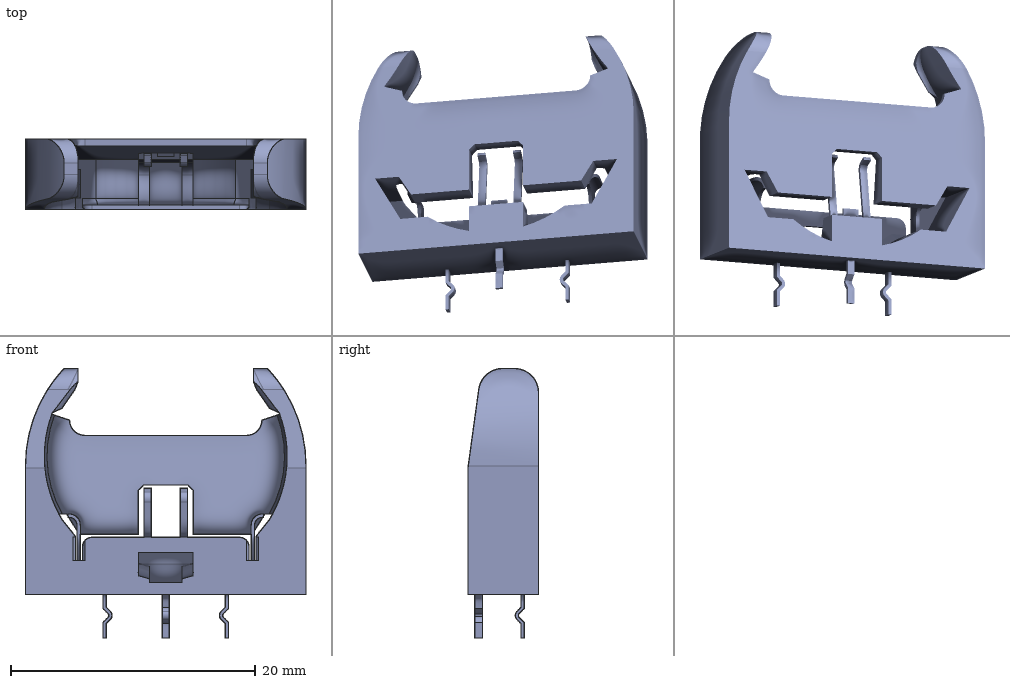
import cadquery as cq
import math


WIDTH = 23.0
DEPTH = 5.8
HEIGHT = 18.53
HALF_W = WIDTH / 2
FRONT_Y = -DEPTH / 2
BACK_Y = DEPTH / 2
ARM_START_Z = 10.55
ARM_RADIUS = 11.6
SHOULDER_Z = 10.38
ARM_FRONT_TOP_Y = -1.78
ARM_CORNER_R = 2.0
LEAN = (ARM_FRONT_TOP_Y - FRONT_Y) / (HEIGHT - SHOULDER_Z)

CELL_Z = 11.33
CELL_R = 9.95
POCKET_LOW_Z = 6.6
POCKET_HIGH_Z = 14.88
FLANK_TOP_Z = 6.15
FLANK_LOW_Z = 4.77

TIP_X = 7.17
TIP_KNEE = (7.99, 16.84)
HOOK_TOP_Z = 17.5
HOOK_PROFILE = [(8.5, 15.26), (7.43, 16.8)]
HOOK_DEPTH = 0.55
BEVEL_END = (7.37, 17.4)

LIP_TOP_Z = 4.70
LIP_BACK_Y = -2.54
LIP_CORNER_R = 0.8
SLOT_IN_X = 6.83
SLOT_OUT_X = 7.39
SLOT_FLARE = 0.2

FLOOR_Z = 2.81
FLOOR_FLAT_X = 5.73
TROUGH_BOTTOM_Z = 0.97
LIP_FOOT = 0.54
RECESS_FRONT_Y = -1.9
RECESS_FOOT_X = 8.0
RECESS_TOP_X = 10.1

PLATE_LOW_Z = 4.93
PLATE_LOW_Y = 1.19
PLATE_HIGH_Z = 13.05
PLATE_LOW_X = 7.1
PLATE_STEP_X = 8.12
PLATE_HORN_X = 7.87
PLATE_HORN_Z = 14.29
PLATE_END_X = 9.31
PLATE_END_Z = 14.77
WALL_OVERLAP = 0.4
PLATE_BEVEL = 0.22
NOTCH_TOP_Z = 8.96
NOTCH_CHAMFER = 0.44

BLOCK_HALF_W = 2.25
BLOCK_TOP_Z = 3.44
BLOCK_TOP_Y = 1.19
BLOCK_FACE_Y = 0.95
BLOCK_FACE_Z = 2.49
RIB_IN_X = 1.33
RIB_IN_Z = 1.28
RIB_OUT_Z = 1.55
RIB_FILLET = 1.0

SHEET = 0.28
SPRING_X = 7.0
SPRING_BEND_R = 0.9
SPRING_TIP_X = 8.0
SPRING_FRONT_Y = -1.93
SPRING_BACK_Y = 0.4
SPRING_TIP_R = 0.5
STEM_BACK_Y = -0.85
FINGER_IN_X = 1.17
FINGER_OUT_X = 1.80
FINGER_FRONT_BEND = [(0.65, 7.59), (0.69, 8.1), (0.96, 8.41)]
FINGER_TIP_UPPER = (1.58, 8.73)
FINGER_TIP_LOWER = (1.71, 8.48)
FINGER_BACK_BEND = [(1.09, 8.16), (0.95, 7.95), (0.93, 7.64)]
TAB_HALF_W = 0.67
TAB_TOP_Z = 4.3
CENTRE_CONTACT_Y = 1.45
ANCHOR = 0.4

PIN_LENGTH = 3.56
KINK_Z = -1.71
KINK_FAR_HALF = 0.57
KINK_FAR_APEX = 0.48
KINK_FAR_ARC = 0.1
KINK_NEAR_HALF = 0.67
KINK_NEAR_APEX = 0.47
KINK_NEAR_ARC = 0.31
SIDE_PIN_X = 5.15
SIDE_PIN_FRONT_Y = -2.34
SIDE_PIN_W = 0.66
CENTRE_PIN_W = 0.58


def extrude_y(profile, y_start, y_end):
    """Extrude a closed XZ profile between two Y positions."""
    return profile.extrude(y_start - y_end).translate((0, y_start, 0))


def both_sides(solid):
    """Combine a right-hand solid with its mirror image about X = 0."""
    return solid.union(solid.mirror("YZ"))


def cell_arc_x(z):
    return math.sqrt(CELL_R ** 2 - (z - CELL_Z) ** 2)


def outer_blank():
    """Housing outline from the front, trimmed to the side outline."""
    centre_x = HALF_W - ARM_RADIUS

    def arm_point(z):
        return centre_x + math.sqrt(ARM_RADIUS ** 2 - (z - ARM_START_Z) ** 2), z

    top_x, top_z = arm_point(HEIGHT)
    mid_x, mid_z = arm_point((ARM_START_Z + HEIGHT) / 2)
    front = (
        cq.Workplane("XZ")
        .moveTo(-HALF_W, 0)
        .lineTo(HALF_W, 0)
        .lineTo(HALF_W, ARM_START_Z)
        .threePointArc((mid_x, mid_z), (top_x, top_z))
        .lineTo(-top_x, top_z)
        .threePointArc((-mid_x, mid_z), (-HALF_W, ARM_START_Z))
        .close()
    )
    side = (
        cq.Workplane("YZ")
        .polyline([
            (FRONT_Y, 0),
            (BACK_Y, 0),
            (BACK_Y, HEIGHT),
            (ARM_FRONT_TOP_Y, HEIGHT),
            (FRONT_Y, SHOULDER_Z),
        ])
        .close()
        .extrude(HALF_W, both=True)
        .edges("|X and >Z")
        .fillet(ARM_CORNER_R)
    )
    return extrude_y(front, FRONT_Y, BACK_Y).intersect(side)


def mouth_cutter():
    """Opening seen from the front, right half: cell arc, arm tip, flank and slot."""
    high_x = cell_arc_x(POCKET_HIGH_Z)
    profile = (
        cq.Workplane("XZ")
        .moveTo(0, LIP_TOP_Z)
        .lineTo(SLOT_IN_X - LIP_CORNER_R, LIP_TOP_Z)
        .radiusArc((SLOT_IN_X, LIP_TOP_Z - LIP_CORNER_R), LIP_CORNER_R)
        .lineTo(SLOT_IN_X, FLOOR_Z)
        .lineTo(SLOT_OUT_X, FLOOR_Z)
        .lineTo(SLOT_OUT_X, FLANK_LOW_Z)
        .lineTo(cell_arc_x(FLANK_TOP_Z), FLANK_TOP_Z)
        .threePointArc((CELL_R, CELL_Z), (high_x, POCKET_HIGH_Z))
        .threePointArc(TIP_KNEE, (TIP_X, HEIGHT))
        .lineTo(0, HEIGHT)
        .close()
    )
    return both_sides(extrude_y(profile, FRONT_Y, BACK_Y))


def slot_flares():
    """Flared front edges of the two slots beside the lip."""
    flare = (
        cq.Workplane("XY", origin=(0, 0, FLOOR_Z))
        .polyline([
            (SLOT_IN_X - SLOT_FLARE, FRONT_Y),
            (SLOT_OUT_X + SLOT_FLARE, FRONT_Y),
            (SLOT_OUT_X, FRONT_Y + SLOT_FLARE),
            (SLOT_IN_X, FRONT_Y + SLOT_FLARE),
        ])
        .close()
        .extrude(LIP_TOP_Z - FLOOR_Z)
    )
    return both_sides(flare)


def floor_cutter():
    """Trough and flat floor behind the lip, with a chamfer along the lip foot."""
    rise = FLOOR_Z - TROUGH_BOTTOM_Z
    trough_r = (FLOOR_FLAT_X ** 2 + rise ** 2) / (2 * rise)
    profile = (
        cq.Workplane("XZ")
        .moveTo(-SLOT_IN_X, PLATE_LOW_Z)
        .lineTo(-SLOT_IN_X, FLOOR_Z)
        .lineTo(-FLOOR_FLAT_X, FLOOR_Z)
        .radiusArc((FLOOR_FLAT_X, FLOOR_Z), -trough_r)
        .lineTo(SLOT_IN_X, FLOOR_Z)
        .lineTo(SLOT_IN_X, PLATE_LOW_Z)
        .close()
    )
    lip_foot = cq.selectors.BoxSelector(
        (-SLOT_IN_X, LIP_BACK_Y - SHEET, 0), (SLOT_IN_X, LIP_BACK_Y + SHEET, FLOOR_Z + SHEET)
    )
    return extrude_y(profile, LIP_BACK_Y, BACK_Y).edges(lip_foot).chamfer(LIP_FOOT)


def side_recesses():
    """Clearance behind the pocket flanks for the side contacts."""
    profile = (
        cq.Workplane("XZ")
        .polyline([
            (SLOT_IN_X, FLOOR_Z),
            (RECESS_FOOT_X, FLOOR_Z),
            (RECESS_TOP_X, POCKET_LOW_Z),
            (SLOT_IN_X, POCKET_LOW_Z),
        ])
        .close()
    )
    return both_sides(extrude_y(profile, RECESS_FRONT_Y, BACK_Y))


def snap_hooks():
    """Snap hooks under the arm tips, bevelled at 45 degrees on the front."""
    def arm_front_y(z):
        return FRONT_Y + LEAN * (z - SHOULDER_Z)

    start_x = cell_arc_x(POCKET_HIGH_Z)
    start = cq.Vector(start_x, arm_front_y(POCKET_HIGH_Z), POCKET_HIGH_Z)
    end = cq.Vector(BEVEL_END[0], arm_front_y(BEVEL_END[1]), BEVEL_END[1])
    along = end - start
    length = along.Length
    inward = cq.Vector(-along.z, 0, along.x).normalized()
    slope = inward + cq.Vector(0, 1, 0)
    normal = along.cross(slope)
    if normal.y > 0:
        normal = normal * -1
    plane = cq.Plane(origin=start.toTuple(), xDir=along.toTuple(), normal=normal.toTuple())
    bevel = cq.Workplane(plane).rect(2 * length, 2, centered=(False, True)).extrude(1)
    knee_x, knee_z = TIP_KNEE
    profile = (
        cq.Workplane("XZ")
        .moveTo(start_x, POCKET_HIGH_Z)
        .polyline(HOOK_PROFILE, includeCurrent=True)
        .lineTo(TIP_X, HOOK_TOP_Z)
        .lineTo(TIP_X, HEIGHT)
        .lineTo(TIP_X + WALL_OVERLAP, HEIGHT)
        .lineTo(knee_x + WALL_OVERLAP, knee_z)
        .close()
    )
    arms = outer_blank()
    hook = extrude_y(profile, FRONT_Y, BACK_Y).intersect(arms)
    hook = hook.cut(arms.translate((0, HOOK_DEPTH, 0)))
    return both_sides(hook.cut(bevel))


def plate_front_y(z):
    return PLATE_LOW_Y + LEAN * (z - PLATE_LOW_Z)


def behind_plate_plane(offset):
    """Everything behind a plane lying the given distance in front of the plate."""
    return (
        cq.Workplane("YZ")
        .polyline([
            (plate_front_y(PLATE_LOW_Z) - offset, PLATE_LOW_Z),
            (BACK_Y, PLATE_LOW_Z),
            (BACK_Y, HEIGHT),
            (plate_front_y(HEIGHT) - offset, HEIGHT),
        ])
        .close()
        .extrude(HALF_W, both=True)
    )


def back_plate():
    """Leaning back plate with horns, lower corner steps and a central notch."""
    horn_r = PLATE_HORN_Z - PLATE_HIGH_Z
    low_x = cell_arc_x(POCKET_LOW_Z)
    half = (
        cq.Workplane("XZ")
        .moveTo(0, NOTCH_TOP_Z)
        .lineTo(BLOCK_HALF_W - NOTCH_CHAMFER, NOTCH_TOP_Z)
        .lineTo(BLOCK_HALF_W, NOTCH_TOP_Z - NOTCH_CHAMFER)
        .lineTo(BLOCK_HALF_W, PLATE_LOW_Z)
        .lineTo(PLATE_LOW_X, PLATE_LOW_Z)
        .lineTo(PLATE_STEP_X, POCKET_LOW_Z)
        .lineTo(low_x + WALL_OVERLAP, POCKET_LOW_Z)
        .threePointArc((CELL_R + WALL_OVERLAP, CELL_Z), (PLATE_END_X + WALL_OVERLAP, PLATE_END_Z))
        .lineTo(PLATE_END_X, PLATE_END_Z)
        .lineTo(PLATE_HORN_X, PLATE_HORN_Z)
        .radiusArc((PLATE_HORN_X - horn_r, PLATE_HIGH_Z), horn_r)
        .lineTo(0, PLATE_HIGH_Z)
        .close()
    )
    return both_sides(extrude_y(half, PLATE_LOW_Y, BACK_Y)).intersect(behind_plate_plane(0))


def plate_bevels():
    """Conical bevels between the leaning plate front and the pocket wall."""
    thickness = 1.5 * PLATE_BEVEL
    low_x = cell_arc_x(POCKET_LOW_Z)
    inset = 2 * PLATE_BEVEL
    horn_slope = (PLATE_END_Z - PLATE_HORN_Z) / (PLATE_END_X - PLATE_HORN_X)
    strip = (
        cq.Workplane("XZ")
        .moveTo(low_x - inset, POCKET_LOW_Z)
        .lineTo(low_x + WALL_OVERLAP, POCKET_LOW_Z)
        .threePointArc((CELL_R + WALL_OVERLAP, CELL_Z), (PLATE_END_X + WALL_OVERLAP, PLATE_END_Z))
        .lineTo(PLATE_END_X, PLATE_END_Z)
        .lineTo(PLATE_END_X - inset, PLATE_END_Z - horn_slope * inset)
        .threePointArc((CELL_R - inset, CELL_Z), (low_x - inset, POCKET_LOW_Z))
        .close()
    )
    slab = both_sides(extrude_y(strip, FRONT_Y, BACK_Y)).intersect(behind_plate_plane(thickness))
    centre = cq.Vector(0, plate_front_y(CELL_Z), CELL_Z)
    outward = cq.Vector(0, -1, LEAN)
    cone = cq.Workplane(cq.Solid.makeCone(
        CELL_R - 2 * PLATE_BEVEL,
        CELL_R + PLATE_BEVEL,
        3 * PLATE_BEVEL,
        pnt=centre - outward.normalized() * PLATE_BEVEL,
        dir=outward,
    ))
    return slab.cut(cone)


def contact_block():
    """Block at the back of the trough that carries the centre contact."""
    return (
        cq.Workplane("YZ")
        .polyline([
            (BACK_Y, 0),
            (BACK_Y, BLOCK_TOP_Z),
            (BLOCK_TOP_Y, BLOCK_TOP_Z),
            (BLOCK_FACE_Y, BLOCK_FACE_Z),
            (BLOCK_FACE_Y, 0),
        ])
        .close()
        .extrude(BLOCK_HALF_W, both=True)
    )


def window_cutter():
    """Window through the lip, continued back to the contact block."""
    profile = (
        cq.Workplane("XZ")
        .moveTo(-BLOCK_HALF_W, TROUGH_BOTTOM_Z)
        .lineTo(BLOCK_HALF_W, TROUGH_BOTTOM_Z)
        .lineTo(BLOCK_HALF_W, BLOCK_TOP_Z)
        .lineTo(-BLOCK_HALF_W, BLOCK_TOP_Z)
        .close()
    )
    return extrude_y(profile, FRONT_Y, BLOCK_FACE_Y)


def window_ribs():
    """Ribs beside the trough centre, rising outwards and curving up to the block."""
    root_y = BLOCK_FACE_Y + ANCHOR
    depth = 1.0

    def section(work, z):
        return (
            work
            .moveTo(FRONT_Y, z - depth)
            .lineTo(FRONT_Y, z)
            .lineTo(BLOCK_FACE_Y - RIB_FILLET, z)
            .radiusArc((BLOCK_FACE_Y, z + RIB_FILLET), -RIB_FILLET)
            .lineTo(root_y, z + RIB_FILLET)
            .lineTo(root_y, z - depth)
            .close()
        )

    inner = section(cq.Workplane("YZ", origin=(RIB_IN_X, 0, 0)), RIB_IN_Z)
    rib = section(inner.workplane(offset=BLOCK_HALF_W - RIB_IN_X), RIB_OUT_Z)
    return both_sides(rib.loft(ruled=True, combine=True))


def side_contacts():
    """Side springs: upright strips curling outwards at the top."""
    bend_x = SPRING_X + SPRING_BEND_R
    bend_z = POCKET_LOW_Z - SPRING_BEND_R
    inner_r = SPRING_BEND_R - SHEET
    profile = (
        cq.Workplane("XZ")
        .moveTo(SPRING_X, FLOOR_Z - ANCHOR)
        .lineTo(SPRING_X, bend_z)
        .radiusArc((bend_x, POCKET_LOW_Z), SPRING_BEND_R)
        .lineTo(SPRING_TIP_X, POCKET_LOW_Z)
        .lineTo(SPRING_TIP_X, POCKET_LOW_Z - SHEET)
        .lineTo(bend_x, POCKET_LOW_Z - SHEET)
        .radiusArc((bend_x - inner_r, bend_z), -inner_r)
        .lineTo(SPRING_X + SHEET, FLOOR_Z - ANCHOR)
        .close()
    )
    strip = extrude_y(profile, SPRING_FRONT_Y, SPRING_BACK_Y)
    tip_corner = cq.selectors.BoxSelector(
        (SPRING_TIP_X - SHEET, SPRING_BACK_Y - SHEET, bend_z),
        (SPRING_TIP_X + SHEET, SPRING_BACK_Y + SHEET, POCKET_LOW_Z),
    )
    strip = strip.edges("|Z").edges(tip_corner).fillet(SPRING_TIP_R)
    flare = SPRING_BACK_Y - STEM_BACK_Y
    behind_stem = (
        cq.Workplane("YZ")
        .moveTo(STEM_BACK_Y, 0)
        .lineTo(STEM_BACK_Y, bend_z - flare)
        .radiusArc((SPRING_BACK_Y, bend_z), flare)
        .lineTo(SPRING_BACK_Y, 0)
        .close()
        .extrude(HALF_W)
    )
    return both_sides(strip.cut(behind_stem))


def centre_contact():
    """Two forward-leaning fingers with bent-back tips, and the tab between them."""
    base_z = BLOCK_TOP_Z - ANCHOR
    finger = (
        cq.Workplane("YZ", origin=(FINGER_IN_X, 0, 0))
        .moveTo(CENTRE_CONTACT_Y, base_z)
        .lineTo(*FINGER_FRONT_BEND[0])
        .threePointArc(*FINGER_FRONT_BEND[1:])
        .lineTo(*FINGER_TIP_UPPER)
        .lineTo(*FINGER_TIP_LOWER)
        .lineTo(*FINGER_BACK_BEND[0])
        .threePointArc(*FINGER_BACK_BEND[1:])
        .lineTo(CENTRE_CONTACT_Y + SHEET, base_z)
        .close()
        .extrude(FINGER_OUT_X - FINGER_IN_X)
    )
    tab = cq.Workplane("XY").box(
        2 * TAB_HALF_W, SHEET, TAB_TOP_Z - base_z, centered=(True, False, False)
    )
    return both_sides(finger).union(tab.translate((0, CENTRE_CONTACT_Y, base_z)))


def kinked_pin(plane, face, direction):
    """Pin profile on a vertical plane; the kink has 45 degree legs and a round apex.

    `face` is the side facing away from the kink, `direction` the sign of the kink.
    """
    near = face + direction * SHEET

    def bump(work, base, half_height, apex, arc_half_height, sense):
        arc_u = base + direction * (half_height - arc_half_height)
        return (
            work
            .lineTo(base, KINK_Z + sense * half_height)
            .lineTo(arc_u, KINK_Z + sense * arc_half_height)
            .threePointArc((base + direction * apex, KINK_Z), (arc_u, KINK_Z - sense * arc_half_height))
            .lineTo(base, KINK_Z - sense * half_height)
        )

    outline = cq.Workplane(plane).moveTo(face, ANCHOR)
    outline = bump(outline, face, KINK_FAR_HALF, KINK_FAR_APEX, KINK_FAR_ARC, 1)
    outline = outline.lineTo(face, -PIN_LENGTH).lineTo(near, -PIN_LENGTH)
    outline = bump(outline, near, KINK_NEAR_HALF, KINK_NEAR_APEX, KINK_NEAR_ARC, -1)
    return outline.lineTo(near, ANCHOR).close()


def solder_pins():
    side_pin = extrude_y(
        kinked_pin("XZ", SIDE_PIN_X, -1), SIDE_PIN_FRONT_Y, SIDE_PIN_FRONT_Y + SIDE_PIN_W
    )
    centre_pin = kinked_pin("YZ", CENTRE_CONTACT_Y + SHEET, -1).extrude(CENTRE_PIN_W / 2, both=True)
    return both_sides(side_pin).union(centre_pin)


housing = outer_blank()
for cutter in (mouth_cutter(), slot_flares(), floor_cutter(), side_recesses()):
    housing = housing.cut(cutter)
housing = housing.union(snap_hooks()).union(back_plate()).union(plate_bevels())
housing = housing.union(contact_block()).cut(window_cutter()).union(window_ribs())

result = housing.union(side_contacts()).union(centre_contact()).union(solder_pins())